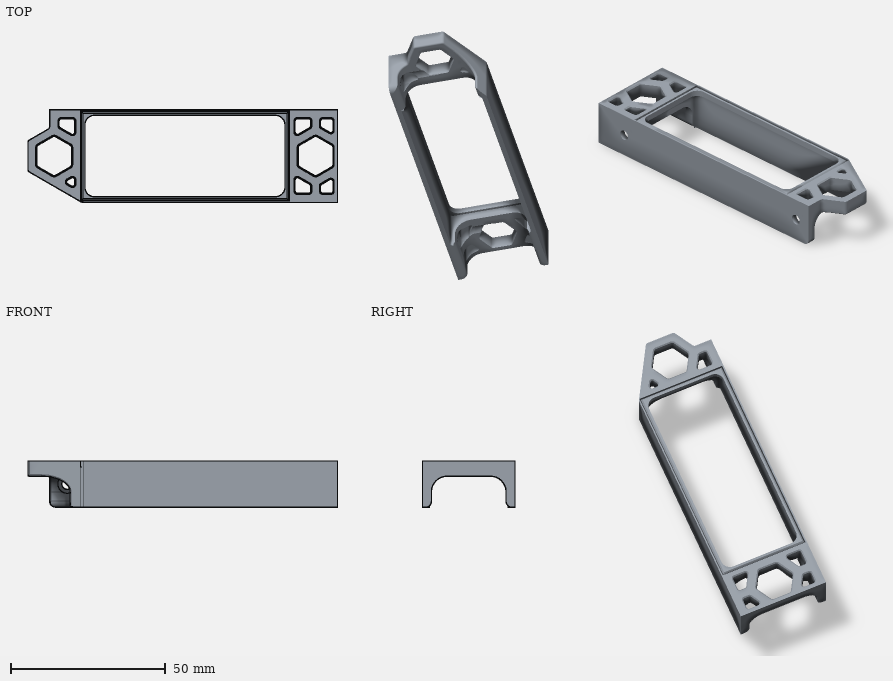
import cadquery as cq
import math

LENGTH = 100.0
WIDTH = 30.0
HEIGHT = 15.0

HEX_OPENING = 6.0
RIM = 2.5
HEX_RIM = HEX_OPENING + RIM
HEX_ANGLES = (0, 60, 120, 180, 240, 300)
LEFT_HEX_X = HEX_RIM
MIDDLE_X = 50.7
RIGHT_HEX_X = 2 * MIDDLE_X - LEFT_HEX_X

SHOULDER_X = 7.0
TIP_RADIUS = 1.0
FLANK_RADIUS = 1.8

HOLE_TOP = 12.4
HOLE_TO_AXIS = 1.2
HOLE_WINDOW_SIDE = 7.0
HEX_RADIUS = 1.0
HOLE_RADIUS = 0.7
HOLE_CHAMFER = 0.4

ARCH_HALF_WIDTH = 12.0
ARCH_HEIGHT = 10.0
ARCH_RADIUS = 5.0
FOOT_RADIUS = 2.0
OUTLET_RADIUS = 0.5

WELL_LENGTH = 66.0
WELL_WIDTH = 26.8
WELL_RADIUS = 0.8
RECESS_LENGTH = 67.5
RECESS_WIDTH = 29.1
RECESS_DEPTH = 2.0

SCREW_DIAMETER = 3.4
HEAD_DIAMETER = 6.0
SCREW_Z = 7.5
SCREW_FROM_MIDDLE = 38.0
HEAD_SEAT = 2.0

FRAME_CLEARANCE = 0.3
FRAME_CHAMFER = 0.5
OPENING_LENGTH = 64.5
OPENING_WIDTH = 26.2
OPENING_RADIUS = 3.0

TOLERANCE = 0.05

SIDE_Y = WIDTH / 2
WELL_LEFT_X = MIDDLE_X - WELL_LENGTH / 2
WELL_RIGHT_X = MIDDLE_X + WELL_LENGTH / 2


def vertical_edge(body, x, y):
    """The upright edge of a prism that stands nearest to (x, y)."""
    return body.edges("|Z").edges(cq.NearestToPointSelector((x, y, HEIGHT / 2)))


def outer_block():
    """Block with a hexagonal tip, a shoulder on the +Y side and a slanted flank on the -Y side."""
    slope = math.tan(math.radians(30))
    tip_y = HEX_RIM * slope
    shoulder_y = tip_y + SHOULDER_X * slope
    flank_x = (SIDE_Y - tip_y) / slope
    block = (
        cq.Workplane("XY")
        .moveTo(0, -tip_y)
        .lineTo(0, tip_y)
        .lineTo(SHOULDER_X, shoulder_y)
        .lineTo(SHOULDER_X, SIDE_Y)
        .lineTo(LENGTH, SIDE_Y)
        .lineTo(LENGTH, -SIDE_Y)
        .lineTo(flank_x, -SIDE_Y)
        .close()
        .extrude(HEIGHT)
    )
    for x, y, radius in (
        (0, -tip_y, TIP_RADIUS),
        (0, tip_y, TIP_RADIUS),
        (SHOULDER_X, shoulder_y, TIP_RADIUS),
        (flank_x, -SIDE_Y, FLANK_RADIUS),
    ):
        block = vertical_edge(block, x, y).fillet(radius)
    return block


def arch_passage(x_start, x_end):
    """Passage along X with a flat crown, rounded shoulders and upright sides."""
    return (
        cq.Workplane("YZ", origin=(x_start, 0, 0))
        .rect(2 * ARCH_HALF_WIDTH, 2 * ARCH_HEIGHT)
        .extrude(x_end - x_start)
        .edges("|X")
        .fillet(ARCH_RADIUS)
    )


def foot_flare(x_start, x_end):
    """Waste between the feet that rounds their inner bottom edges along X."""
    length = x_end - x_start
    foot_y = ARCH_HALF_WIDTH + FOOT_RADIUS
    waste = cq.Workplane("XY", origin=(x_start, -foot_y, 0)).box(length, 2 * foot_y, FOOT_RADIUS, centered=False)
    for y in (-foot_y, foot_y):
        rounding = cq.Workplane("YZ", origin=(x_start, y, FOOT_RADIUS)).circle(FOOT_RADIUS).extrude(length)
        waste = waste.cut(rounding)
    return waste


def foot_end_waste():
    """Waste that rounds the bottom of the flat end of the +Y foot."""
    foot_width = SIDE_Y - ARCH_HALF_WIDTH + OUTLET_RADIUS
    corner = (
        cq.Workplane("XY", origin=(SHOULDER_X, SIDE_Y - foot_width, 0))
        .box(FOOT_RADIUS, foot_width, FOOT_RADIUS, centered=False)
    )
    rounding = (
        cq.Workplane("XZ", origin=(SHOULDER_X + FOOT_RADIUS, SIDE_Y, FOOT_RADIUS))
        .circle(FOOT_RADIUS)
        .extrude(foot_width)
    )
    return corner.cut(rounding)


def round_arch_outlet(body):
    """Round the edges where the passage breaks out at the pointed end."""
    edges = []
    for edge in body.edges().vals():
        box = edge.BoundingBox()
        at_pointed_end = box.xmax < WELL_LEFT_X - TOLERANCE
        inside_arch = max(-box.ymin, box.ymax) < ARCH_HALF_WIDTH + TOLERANCE
        under_plate = TOLERANCE < box.zmax < ARCH_HEIGHT + TOLERANCE
        if at_pointed_end and inside_arch and under_plate:
            edges.append(edge)
    return body.newObject(edges).fillet(OUTLET_RADIUS)


def straight_hole(walls, center_x, radius=HOLE_RADIUS):
    """Upright hole whose walls are given by outward angle and distance from the hexagon centre."""
    corners = []
    for (angle_a, reach_a), (angle_b, reach_b) in zip(walls, walls[1:] + walls[:1]):
        a = math.radians(angle_a)
        b = math.radians(angle_b)
        dist_a = reach_a - HOLE_CHAMFER
        dist_b = reach_b - HOLE_CHAMFER
        turn = math.sin(b - a)
        x = (dist_a * math.sin(b) - dist_b * math.sin(a)) / turn
        y = (dist_b * math.cos(a) - dist_a * math.cos(b)) / turn
        corners.append((center_x + x, y))
    prism = cq.Workplane("XY").polyline(corners).close().extrude(HEIGHT)
    return prism.edges("|Z").fillet(radius)


def mirrored_y(hole):
    """The same hole on the other side of the XZ plane."""
    return hole.mirror("XZ")


def plate_holes():
    """Hexagons and lightening holes of both end plates."""
    hexagon = [(angle, HEX_OPENING) for angle in HEX_ANGLES]
    beside_well = [(0, HOLE_WINDOW_SIDE), (90, HOLE_TOP), (180, -HOLE_TO_AXIS), (240, -HEX_RIM)]
    beside_end = [(0, HEX_OPENING), (90, HOLE_TOP), (180, -HOLE_TO_AXIS), (240, -HEX_RIM)]
    triangle = [(0, HOLE_WINDOW_SIDE), (120, -HEX_RIM), (240, HEX_OPENING)]
    left_inner = straight_hole(beside_well, LEFT_HEX_X)
    right_inner = left_inner.mirror("YZ", (MIDDLE_X, 0, 0))
    right_outer = straight_hole(beside_end, RIGHT_HEX_X)
    return [
        straight_hole(hexagon, LEFT_HEX_X, HEX_RADIUS),
        straight_hole(hexagon, RIGHT_HEX_X, HEX_RADIUS),
        straight_hole(triangle, LEFT_HEX_X),
        left_inner,
        right_inner,
        mirrored_y(right_inner),
        right_outer,
        mirrored_y(right_outer),
    ]


def screw_hole(x):
    """Screw hole along Y with a head pocket opening to the passage."""
    seat_y = SIDE_Y - HEAD_SEAT
    shank = cq.Workplane("XZ", origin=(x, SIDE_Y, SCREW_Z)).circle(SCREW_DIAMETER / 2).extrude(SIDE_Y)
    head = cq.Workplane("XZ", origin=(x, seat_y, SCREW_Z)).circle(HEAD_DIAMETER / 2).extrude(seat_y)
    return shank.union(head)


def make_housing():
    """Housing with arched ends, pierced end plates, the central well and the frame recess."""
    body = outer_block()
    body = body.cut(arch_passage(0, WELL_LEFT_X))
    body = round_arch_outlet(body)
    body = body.cut(foot_flare(0, WELL_LEFT_X))
    body = body.cut(foot_end_waste())
    body = body.cut(arch_passage(WELL_RIGHT_X, LENGTH))
    body = body.cut(foot_flare(WELL_RIGHT_X, LENGTH))
    for hole in plate_holes():
        body = body.cut(hole)
    rims = body.faces(">Z").val().innerWires()
    hole_edges = [edge for rim in rims for edge in rim.Edges()]
    body = body.newObject(hole_edges).chamfer(HOLE_CHAMFER)
    for side in (-1, 1):
        body = body.cut(screw_hole(MIDDLE_X + side * SCREW_FROM_MIDDLE))
    well = (
        cq.Workplane("XY", origin=(MIDDLE_X, 0, 0))
        .rect(WELL_LENGTH, WELL_WIDTH)
        .extrude(HEIGHT)
        .edges("|Z")
        .fillet(WELL_RADIUS)
    )
    recess = (
        cq.Workplane("XY", origin=(MIDDLE_X, 0, HEIGHT - RECESS_DEPTH))
        .rect(RECESS_LENGTH, RECESS_WIDTH)
        .extrude(RECESS_DEPTH)
    )
    return body.cut(well).cut(recess)


def make_frame():
    """Flat frame with a chamfered outer top edge and a round-cornered opening."""
    frame = (
        cq.Workplane("XY", origin=(MIDDLE_X, 0, HEIGHT - RECESS_DEPTH))
        .rect(RECESS_LENGTH - 2 * FRAME_CLEARANCE, RECESS_WIDTH - 2 * FRAME_CLEARANCE)
        .extrude(RECESS_DEPTH)
        .faces(">Z")
        .chamfer(FRAME_CHAMFER)
    )
    opening = (
        cq.Workplane("XY", origin=(MIDDLE_X, 0, HEIGHT - RECESS_DEPTH))
        .rect(OPENING_LENGTH, OPENING_WIDTH)
        .extrude(RECESS_DEPTH)
        .edges("|Z")
        .fillet(OPENING_RADIUS)
    )
    return frame.cut(opening)


housing = make_housing()
frame = make_frame()
result = cq.Compound.makeCompound([housing.val(), frame.val()])